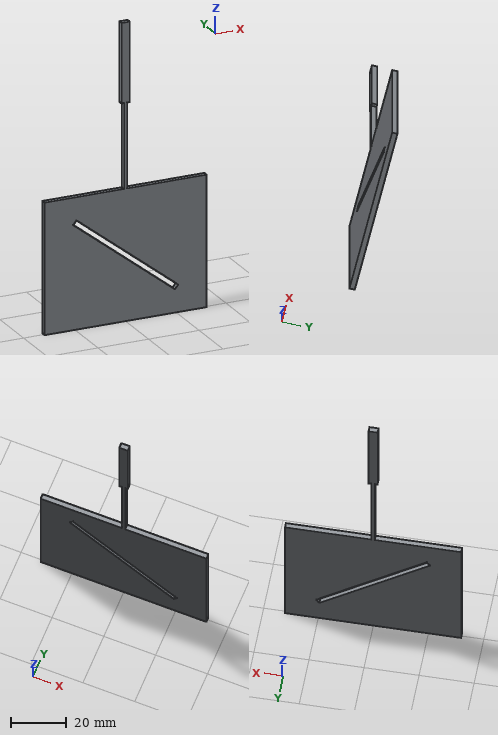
import cadquery as cq

THICKNESS = 2.0
PLATE_WIDTH = 64.0
PLATE_HEIGHT = 51.0
STEM_WIDTH = 1.3
STEM_LENGTH = 33.0
HANDLE_WIDTH = 3.3
HANDLE_LENGTH = 31.0
SLOT_LENGTH = 51.0
SLOT_WIDTH = 2.0
SLOT_ANGLE = -38.0


def upright_bar(width, height, bottom):
    """Flat bar centred on X and Y, standing on the height `bottom`."""
    bar = cq.Workplane("XY").box(width, THICKNESS, height, centered=(True, True, False))
    return bar.translate((0, 0, bottom))


def diagonal_slot():
    """Square-ended through slot at the centre of the plate."""
    return (
        cq.Workplane("XZ")
        .center(0, PLATE_HEIGHT / 2)
        .transformed(rotate=(0, 0, SLOT_ANGLE))
        .rect(SLOT_LENGTH, SLOT_WIDTH)
        .extrude(THICKNESS, both=True)
    )


stem_bottom = PLATE_HEIGHT
handle_bottom = stem_bottom + STEM_LENGTH

plate = upright_bar(PLATE_WIDTH, PLATE_HEIGHT, 0).cut(diagonal_slot())
stem = upright_bar(STEM_WIDTH, STEM_LENGTH, stem_bottom)
handle = upright_bar(HANDLE_WIDTH, HANDLE_LENGTH, handle_bottom)

result = plate.union(stem).union(handle)